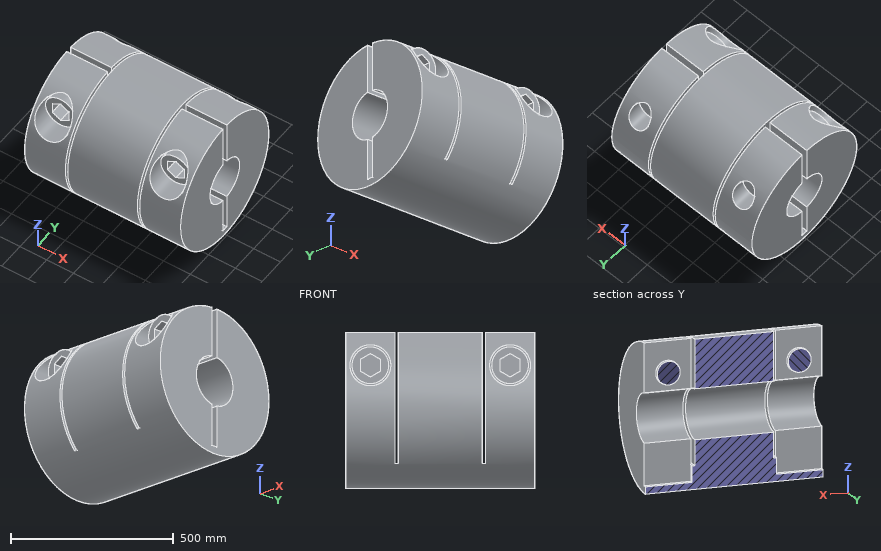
import cadquery as cq
import math

length = 584.0
outer_diameter = 482.5
bore_diameter = 162.0
clamp_length = 153.0

gap_width = 9.0
gap_floor_z = -163.5

slot_width = 21.5
slot_floor_z = -216.0

screw_z = 139.5
screw_x = length / 2 - clamp_length / 2
shank_diameter = 77.0
head_diameter = 113.5
head_length = shank_diameter
head_face_y = -155.5
seat_y = head_face_y + head_length
shank_end_y = 155.5
counterbore_diameter = 126.0
hex_across_flats = 62.5
hex_depth = 64.0

outer_radius = outer_diameter / 2


def cylinder_along_y(diameter, x, start_y, end_y):
    """Cylinder on a screw axis, running from start_y to end_y."""
    return cq.Workplane(
        cq.Solid.makeCylinder(
            diameter / 2,
            end_y - start_y,
            cq.Vector(x, start_y, screw_z),
            cq.Vector(0, 1, 0),
        )
    )


def make_cross_cut(side):
    """Cut from the top down to the web, just inside the hub on the given side."""
    center_x = side * (length / 2 - clamp_length - gap_width / 2)
    return (
        cq.Workplane("XY", origin=(center_x, 0, gap_floor_z))
        .rect(gap_width, outer_diameter)
        .extrude(outer_radius - gap_floor_z)
    )


def make_clamp_slot(side):
    """Slot through one hub, from the top to below the bore."""
    return (
        cq.Workplane("XY", origin=(side * screw_x, 0, slot_floor_z))
        .rect(clamp_length, slot_width)
        .extrude(outer_radius - slot_floor_z)
    )


def make_screw_hole(side):
    """Through hole for the shank with a counterbore for the head."""
    x = side * screw_x
    hole = cylinder_along_y(shank_diameter, x, -outer_radius, outer_radius)
    counterbore = cylinder_along_y(counterbore_diameter, x, -outer_radius, seat_y)
    return hole.union(counterbore)


def make_coupling():
    """One-piece clamping coupling."""
    coupling = (
        cq.Workplane("YZ", origin=(-length / 2, 0, 0))
        .circle(outer_radius)
        .circle(bore_diameter / 2)
        .extrude(length)
    )
    for side in (-1, 1):
        coupling = coupling.cut(make_cross_cut(side))
        coupling = coupling.cut(make_clamp_slot(side))
        coupling = coupling.cut(make_screw_hole(side))
    return coupling


def make_screw(side):
    """Socket head screw with its hexagon corners pointing up and down."""
    x = side * screw_x
    head = cylinder_along_y(head_diameter, x, head_face_y, seat_y)
    shank = cylinder_along_y(shank_diameter, x, seat_y, shank_end_y)
    hex_across_corners = hex_across_flats / math.cos(math.pi / 6)
    socket = (
        cq.Workplane("XZ", origin=(x, head_face_y, screw_z))
        .transformed(rotate=(0, 0, 90))
        .polygon(6, hex_across_corners)
        .extrude(-hex_depth)
    )
    return head.union(shank).cut(socket)


coupling = make_coupling()
screws = [make_screw(side) for side in (-1, 1)]

result = cq.Compound.makeCompound([coupling.val(), *[screw.val() for screw in screws]])